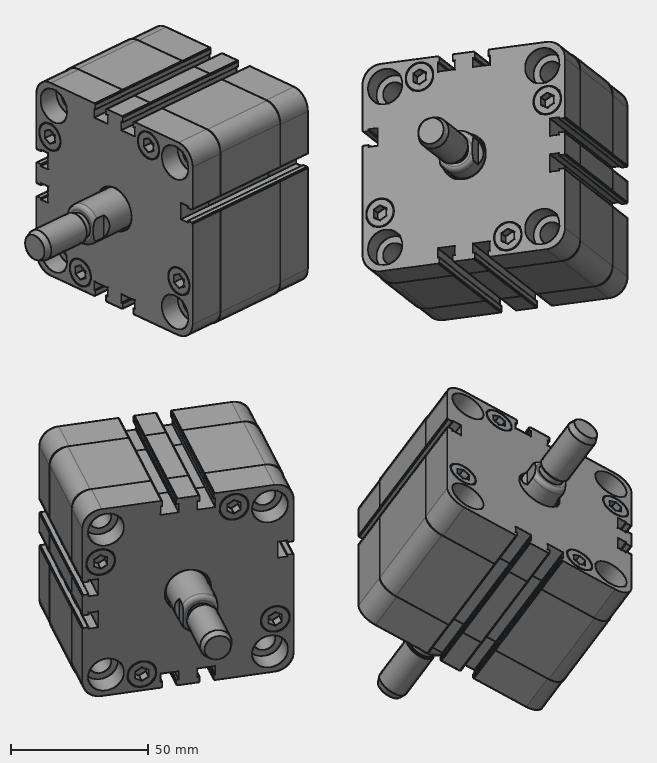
import cadquery as cq

WIDTH = 80.0
HALF = WIDTH / 2
BODY_LENGTH = 60.1
BODY_FRONT = -25.0
BODY_BACK = BODY_FRONT + BODY_LENGTH
BODY_MIDDLE = (BODY_FRONT + BODY_BACK) / 2
CAP_LENGTH = 14.5
CAP_INSET = 0.07
CAP_CORNER_RADIUS = 7.3
PROFILE_CORNER_RADIUS = 6.9

SLOT_DEPTH = 6.0
LIP_DEPTH = 2.4
MOUTH_WIDTH = 5.3
POCKET_WIDTH = 6.8
PAIR_MOUTH_CENTER = 7.0
PAIR_POCKET_CENTER = 6.9
SINGLE_SLOT_CENTER = 12.0
MOUTH_CHAMFER = 0.4

MOUNT_OFFSET = 31.0
MOUNT_DIAMETER = 8.4
MOUNT_BORE_DIAMETER = 13.5
MOUNT_BORE_DEPTH = 8.2

SCREW_NEAR = 17.4
SCREW_FAR = 33.0
SCREW_BORE_DIAMETER = 11.0
SCREW_HEAD_DIAMETER = 10.5
SCREW_HEAD_LENGTH = 5.0
SOCKET_ACROSS_FLATS = 5.0
SOCKET_DEPTH = 4.0

ROD_HALF_LENGTH = 66.5
ROD_DIAMETER = 16.0
SHOULDER_END = 42.7
SHOULDER_FILLET = 1.9
NECK_END = 45.1
NECK_DIAMETER = 10.0
THREAD_DIAMETER = 12.0
THREAD_CHAMFER = 0.4
TIP_DIAMETER = 10.0
TIP_LENGTH = 2.5
FLAT_HALF_WIDTH = 6.5
FLAT_START = 37.1
ROD_CLEARANCE_DIAMETER = 17.5
ROD_CLEARANCE_DEPTH = 1.3


def mirror_ends(shape):
    """Reflect a shape at the front of the body onto the back."""
    return shape.mirror("XZ", (0, BODY_MIDDLE, 0))


def cylinders(centers, diameter, depth):
    """Cylinders along Y at the given X, Z centers, from the front face into the body."""
    plane = cq.Workplane("XZ", origin=(0, BODY_FRONT + depth, 0))
    return plane.pushPoints(centers).circle(diameter / 2).extrude(depth)


def square_bar(start, length, width, corner_radius):
    bar = cq.Workplane("XZ", origin=(0, start + length, 0)).rect(width, width).extrude(length)
    return bar.edges("|Y").fillet(corner_radius)


def slot(surface, mouth_center, pocket_center):
    """T-slot with chamfered mouth edges, cut along Y down from a top side at the given height."""
    plane = cq.Workplane("XZ", origin=(0, BODY_BACK, 0))
    floor = surface - SLOT_DEPTH
    pocket_height = SLOT_DEPTH - LIP_DEPTH
    pocket = (
        plane.center(pocket_center, floor + pocket_height / 2)
        .rect(POCKET_WIDTH, pocket_height)
        .extrude(BODY_LENGTH)
    )
    half_mouth = MOUTH_WIDTH / 2
    mouth = (
        plane.center(mouth_center, surface)
        .moveTo(-half_mouth, -SLOT_DEPTH)
        .lineTo(-half_mouth, -MOUTH_CHAMFER)
        .lineTo(-half_mouth - MOUTH_CHAMFER, 0)
        .lineTo(half_mouth + MOUTH_CHAMFER, 0)
        .lineTo(half_mouth, -MOUTH_CHAMFER)
        .lineTo(half_mouth, -SLOT_DEPTH)
        .close()
        .extrude(BODY_LENGTH)
    )
    return pocket.union(mouth)


def turn(shape, angle):
    """Turn a shape about the rod axis, from the top towards +X for positive angles."""
    return shape.rotate((0, 0, 0), (0, 1, 0), angle)


def body_section(start, length, inset, corner_radius):
    """Length of slotted bar whose sides and slot floors all lie deeper by the inset."""
    surface = HALF - inset
    section = square_bar(start, length, 2 * surface, corner_radius)

    slot_pair = slot(surface, PAIR_MOUTH_CENTER, PAIR_POCKET_CENTER)
    slot_pair = slot_pair.union(slot_pair.mirror("YZ"))
    for angle in (0, 180, -90):
        section = section.cut(turn(slot_pair, angle))

    single_slot = slot(surface, -SINGLE_SLOT_CENTER, -SINGLE_SLOT_CENTER)
    return section.cut(turn(single_slot, 90))


def make_body():
    front_cap = body_section(BODY_FRONT, CAP_LENGTH, CAP_INSET, CAP_CORNER_RADIUS)
    profile_length = BODY_LENGTH - 2 * CAP_LENGTH
    profile = body_section(BODY_FRONT + CAP_LENGTH, profile_length, 0, PROFILE_CORNER_RADIUS)
    return profile.union(front_cap).union(mirror_ends(front_cap))


def cut_mounting_holes(body):
    centers = [(x, z) for x in (-MOUNT_OFFSET, MOUNT_OFFSET) for z in (-MOUNT_OFFSET, MOUNT_OFFSET)]
    bores = cylinders(centers, MOUNT_BORE_DIAMETER, MOUNT_BORE_DEPTH)
    body = body.cut(cylinders(centers, MOUNT_DIAMETER, BODY_LENGTH))
    return body.cut(bores).cut(mirror_ends(bores))


def cut_cap_screws(body):
    """Cut the ring gap around each screw head and the hexagon socket inside it."""
    centers = [
        (SCREW_NEAR, SCREW_FAR),
        (SCREW_FAR, -SCREW_NEAR),
        (-SCREW_NEAR, -SCREW_FAR),
        (-SCREW_FAR, SCREW_NEAR),
    ]
    gaps = cylinders(centers, SCREW_BORE_DIAMETER, SCREW_HEAD_LENGTH)
    gaps = gaps.cut(cylinders(centers, SCREW_HEAD_DIAMETER, SCREW_HEAD_LENGTH))
    sockets = cq.Workplane("XZ")
    for x, z in centers:
        socket = (
            cq.Workplane("XZ", origin=(x, BODY_FRONT + SOCKET_DEPTH, z))
            .polygon(6, SOCKET_ACROSS_FLATS, circumscribed=True)
            .extrude(SOCKET_DEPTH)
        )
        sockets = sockets.add(socket)
    for tool in (gaps, sockets.combine()):
        body = body.cut(tool).cut(mirror_ends(tool))
    return body


def make_rod_half():
    """Back half of the rod, turned about Y, with two wrench flats facing X."""
    rod_radius = ROD_DIAMETER / 2
    half = (
        cq.Workplane("XY")
        .lineTo(rod_radius, 0)
        .lineTo(rod_radius, SHOULDER_END - SHOULDER_FILLET)
        .radiusArc((rod_radius - SHOULDER_FILLET, SHOULDER_END), -SHOULDER_FILLET)
        .lineTo(NECK_DIAMETER / 2, SHOULDER_END)
        .lineTo(NECK_DIAMETER / 2, NECK_END)
        .lineTo(THREAD_DIAMETER / 2 - THREAD_CHAMFER, NECK_END)
        .lineTo(THREAD_DIAMETER / 2, NECK_END + THREAD_CHAMFER)
        .lineTo(THREAD_DIAMETER / 2, ROD_HALF_LENGTH - TIP_LENGTH)
        .lineTo(TIP_DIAMETER / 2, ROD_HALF_LENGTH)
        .lineTo(0, ROD_HALF_LENGTH)
        .close()
        .revolve(360, (0, 0, 0), (0, 1, 0))
    )
    runout = rod_radius - FLAT_HALF_WIDTH
    flat = (
        cq.Workplane("XY", origin=(0, 0, -rod_radius))
        .moveTo(FLAT_HALF_WIDTH, SHOULDER_END)
        .lineTo(FLAT_HALF_WIDTH, FLAT_START)
        .lineTo(rod_radius, FLAT_START - runout)
        .lineTo(rod_radius, SHOULDER_END)
        .close()
        .extrude(ROD_DIAMETER)
    )
    return half.cut(flat).cut(flat.mirror("YZ"))


body = cut_cap_screws(cut_mounting_holes(make_body()))
rod_clearance = cylinders([(0, 0)], ROD_CLEARANCE_DIAMETER, ROD_CLEARANCE_DEPTH)
body = body.cut(rod_clearance).cut(mirror_ends(rod_clearance))

rod_half = make_rod_half()
result = body.union(rod_half).union(rod_half.mirror("XZ"))